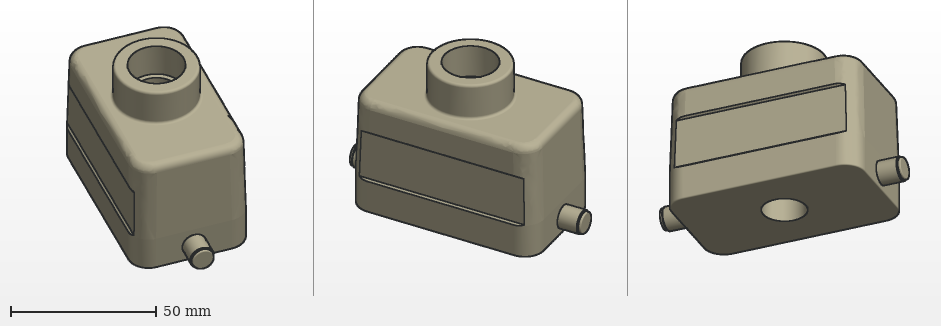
import cadquery as cq

skirt_length = 72.7
skirt_width = 43.0
skirt_height = 13.1
body_height = 44.8
top_length = 70.8
top_width = 41.7
corner_radius = 7.5
top_edge_radius = 3.0
bottom_edge_radius = 0.5

recess_depth = 0.85
recess_bottom = 12.7
recess_top = 32.6
recess_end_slope = 0.7

total_height = 58.5
collar_diameter = 30.0
collar_edge_radius = 1.0
collar_foot_radius = 1.0
bore_diameter = 20.0
bore_depth = 12.5
passage_diameter = 16.0

pin_span = 90.6
pin_height = 6.3
pin_diameter = 8.8
pin_tip_diameter = 8.0
pin_tip_length = 1.0
pin_tip_edge_radius = 0.4


def rounded_outline(length, width):
    """Rectangle with the corner radius of the hood."""
    return cq.Sketch().rect(length, width).vertices().fillet(corner_radius)


def make_body():
    """Straight skirt with a drafted upper shell, rounded at roof and rim."""
    skirt_outline = rounded_outline(skirt_length, skirt_width)
    top_outline = rounded_outline(top_length, top_width)
    skirt = cq.Workplane("XY").placeSketch(skirt_outline).extrude(skirt_height)
    shell_rise = body_height - skirt_height
    shell = (
        cq.Workplane("XY", origin=(0, 0, skirt_height))
        .placeSketch(skirt_outline, top_outline.moved(cq.Location(cq.Vector(0, 0, shell_rise))))
        .loft(ruled=True)
    )
    body = skirt.union(shell)
    body = body.faces(">Z").edges().fillet(top_edge_radius)
    return body.faces("<Z").edges().fillet(bottom_edge_radius)


def wall_offset(height):
    """Distance of the long wall from the middle plane at a given height."""
    draft = (skirt_width - top_width) / 2 / (body_height - skirt_height)
    return skirt_width / 2 - draft * max(height - skirt_height, 0)


def make_recess():
    """Cutter for the recess on the -Y side: floor parallel to the wall, sloped ends."""
    floor_bottom = recess_bottom + recess_end_slope
    floor_top = recess_top - recess_end_slope
    outside = -skirt_width
    return (
        cq.Workplane("YZ")
        .moveTo(outside, recess_bottom)
        .lineTo(-wall_offset(recess_bottom), recess_bottom)
        .lineTo(recess_depth - wall_offset(floor_bottom), floor_bottom)
        .lineTo(recess_depth - wall_offset(floor_top), floor_top)
        .lineTo(-wall_offset(recess_top), recess_top)
        .lineTo(outside, recess_top)
        .close()
        .extrude(skirt_length / 2, both=True)
    )


def make_collar():
    """Collar with a rounded top edge and a concave foot flaring onto the roof."""
    radius = collar_diameter / 2
    return (
        cq.Workplane("XZ")
        .moveTo(0, body_height - top_edge_radius)
        .lineTo(radius + collar_foot_radius, body_height - top_edge_radius)
        .lineTo(radius + collar_foot_radius, body_height)
        .radiusArc((radius, body_height + collar_foot_radius), collar_foot_radius)
        .lineTo(radius, total_height - collar_edge_radius)
        .radiusArc((radius - collar_edge_radius, total_height), -collar_edge_radius)
        .lineTo(0, total_height)
        .close()
        .revolve(360, (0, 0, 0), (0, 1, 0))
    )


def make_pins():
    """One turned rod through the body: both ends form the locking pins."""
    shoulder_chamfer = (pin_diameter - pin_tip_diameter) / 2
    shank_length = pin_span - 2 * pin_tip_length
    middle = cq.Workplane("YZ", origin=(0, 0, pin_height))
    shank = middle.circle(pin_diameter / 2).extrude(shank_length / 2, both=True)
    shank = shank.faces("<X or >X").edges().chamfer(shoulder_chamfer)
    tips = middle.circle(pin_tip_diameter / 2).extrude(pin_span / 2, both=True)
    tips = tips.faces("<X or >X").edges().fillet(pin_tip_edge_radius)
    return shank.union(tips)


def make_entry():
    """Cutter for the stepped cable entry through the whole part."""
    passage = cq.Workplane("XY").circle(passage_diameter / 2).extrude(total_height)
    bore = (
        cq.Workplane("XY", origin=(0, 0, total_height - bore_depth))
        .circle(bore_diameter / 2)
        .extrude(bore_depth)
    )
    return passage.union(bore)


body = make_body()
recess = make_recess()
body = body.cut(recess).cut(recess.mirror("XZ"))
result = body.union(make_collar()).union(make_pins()).cut(make_entry())